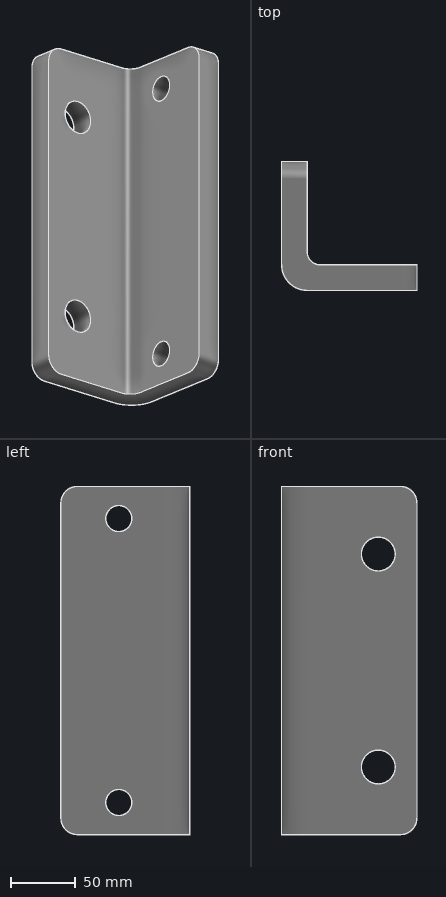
import cadquery as cq

length_x = 105.0
length_y = 100.0
height = 270.0
thickness = 20.0

outer_bend_radius = 20.0
inner_bend_radius = 10.0
corner_radius = 13.0

x_leg_hole_diameter = 26.0
x_leg_hole_offset = 75.0
x_leg_hole_spacing = 165.0

y_leg_hole_diameter = 20.0
y_leg_hole_offset = 55.0
y_leg_hole_spacing = 220.0


def bent_plate():
    """L-shaped profile with its outer corner at the origin, extruded along Z."""
    profile = (
        cq.Workplane("XY")
        .moveTo(0, 0)
        .lineTo(length_x, 0)
        .lineTo(length_x, thickness)
        .lineTo(thickness, thickness)
        .lineTo(thickness, length_y)
        .lineTo(0, length_y)
        .close()
    )
    plate = profile.extrude(height)
    outer_edge = cq.selectors.NearestToPointSelector((0, 0, height / 2))
    inner_edge = cq.selectors.NearestToPointSelector((thickness, thickness, height / 2))
    plate = plate.edges("|Z").edges(inner_edge).fillet(inner_bend_radius)
    return plate.edges("|Z").edges(outer_edge).fillet(outer_bend_radius)


def round_leg_corners(body):
    """Round the top and bottom corners at the free end of each leg."""
    body = body.faces(">X").edges("|Y").fillet(corner_radius)
    return body.faces(">Y").edges("|X").fillet(corner_radius)


def hole_pair(plane, offset, spacing, diameter, depth):
    """Two cylinders, spaced about mid-height, passing through one leg."""
    half_spacing = spacing / 2
    centres = [(offset, height / 2 + side * half_spacing) for side in (-1, 1)]
    return cq.Workplane(plane).pushPoints(centres).circle(diameter / 2).extrude(depth)


x_leg_holes = hole_pair("XZ", x_leg_hole_offset, x_leg_hole_spacing, x_leg_hole_diameter, -thickness)
y_leg_holes = hole_pair("YZ", y_leg_hole_offset, y_leg_hole_spacing, y_leg_hole_diameter, thickness)

result = round_leg_corners(bent_plate()).cut(x_leg_holes).cut(y_leg_holes)